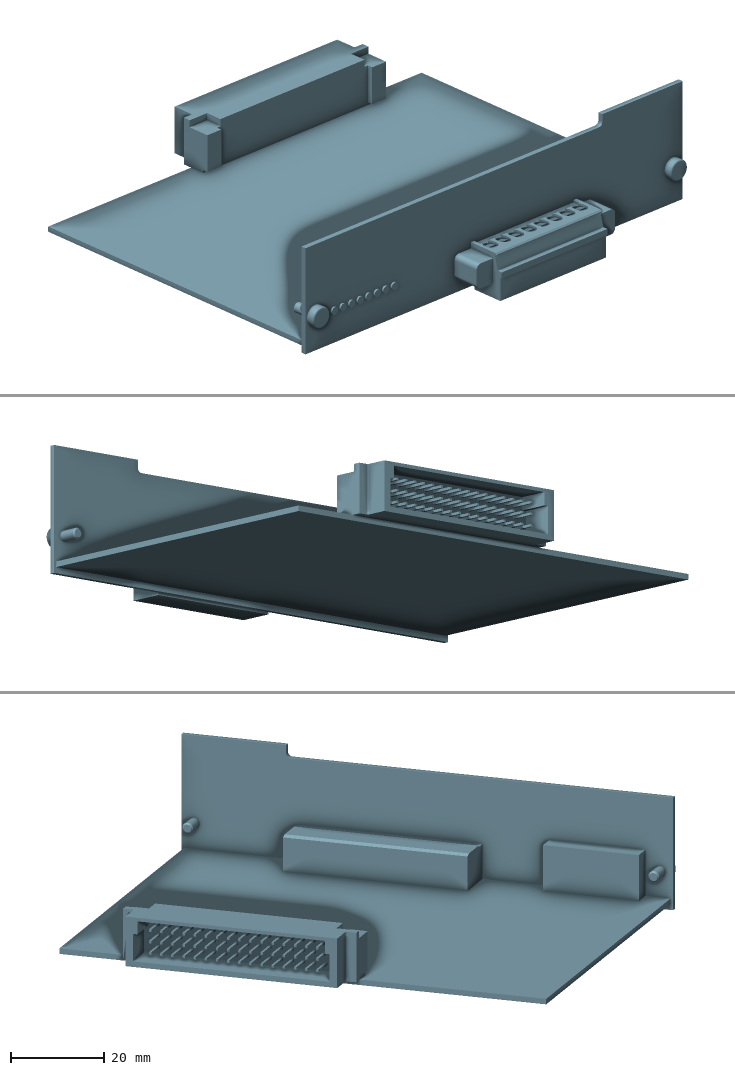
import cadquery as cq


PANEL_LENGTH = 112.1
PANEL_THICKNESS = 1.2
PANEL_BOTTOM = -2.6
PANEL_TOP = 25.5
PANEL_LOW_TOP = 22.6
PANEL_STEP_Y = 32.2
PANEL_STEP_FILLET = 1.0
BOARD_LENGTH = 79.1
BOARD_WIDTH = 111.0
BOARD_THICKNESS = 1.2

PIN_COLUMNS = 16
PIN_ROWS = 3
PIN_ROW_LENGTH = 38.1
PIN_PITCH = PIN_ROW_LENGTH / (PIN_COLUMNS - 1)
PIN_SIZE = 0.6
PIN_TIP_X = -85.2
PIN_BOTTOM_ROW_Z = 2.9
CONNECTOR_Y = 13.6
CONNECTOR_FRONT = -86.8
CONNECTOR_HEIGHT = 11.1
SHELL_LENGTH = 48.3
SHELL_BACK = -75.4
EAR_SPAN = 53.1
EAR_FRONT = -81.4
EAR_BACK = -74.1
EAR_CORNER_FILLET = 0.3
EAR_TAB_LENGTH = 4.1
EAR_TAB_BOTTOM = 0.7
EAR_NOTCH_FRONT = -79.6
EAR_NOTCH_DEPTH = 1.7
EAR_NOTCH_LENGTH = 5.2
CAVITY_FLOOR_X = -79.6
CAVITY_LENGTH = 44.8
CAVITY_BOTTOM = 1.2
CAVITY_STEP_Z = 7.4
CAVITY_TOP = 10.3
CAVITY_TOP_LENGTH = 42.8

TERMINAL_Y = 8.4
HEADER_LENGTH = 42.0
HEADER_DEPTH = 9.5
HEADER_HEIGHT = 8.2
HEADER_CHAMFER_X = 0.9
HEADER_CHAMFER_Z = 0.5
HEADER_STEP_X = 2.5
HEADER_STEP_DROP = 0.3

INDICATOR_Y = -38.8
INDICATOR_LENGTH = 21.9
INDICATOR_DEPTH = 4.1
INDICATOR_HEIGHT = 10.3
LAMP_COUNT = 8
LAMP_PITCH = PIN_PITCH
LAMP_DIAMETER = 1.8
LAMP_PROUD = 0.5

SCREW_Y = 53.1
SCREW_Z = 5.8
SCREW_DIAMETER = 2.5
SCREW_INNER_LENGTH = 4.5
SCREW_TIP_CHAMFER = 0.3
SCREW_HEAD_DIAMETER = 4.9
SCREW_HEAD_HEIGHT = 2.0
SCREW_HEAD_FILLET = 0.5

PLUG_GAP = 0.5
PLUG_BACK = PANEL_THICKNESS + PLUG_GAP
POLE_COUNT = 8
POLE_PITCH = 3.8
PLUG_LENGTH = 31.4
PLUG_TOP = 8.2
PLUG_BOTTOM = -2.7
PLUG_FOOT_BACK = 2.7
PLUG_FOOT_TOP = -1.8
PLUG_FACE = 10.8
PLUG_LIP_X = 9.5
PLUG_LIP_HEIGHT = 0.6
PLUG_LIP_BEVEL = 0.3
PLUG_SLOPE_TOP_X = 9.1
PLUG_SLOPE_BOTTOM_X = 10.0
PLUG_RIDGE_X = 11.2
PLUG_RIDGE_TOP = 4.3
PLUG_RIDGE_BOTTOM = 2.8
FLANGE_LENGTH = 41.1
FLANGE_FRONT = 8.5
FLANGE_BOTTOM = 0.8
FLANGE_TOP = 6.7
FLANGE_FILLET = 1.2
TROUGH_LENGTH = 29.5
TROUGH_FRONT = 3.6
TROUGH_DEPTH = 0.6
WELL_LENGTH = 3.8
WELL_DEPTH = 1.1
CLAMP_DIAMETER = 2.9
CLAMP_X = 5.6
CLAMP_HEIGHT = 0.6
CLAMP_SLOT_WIDTH = 0.6
CLAMP_SLOT_DEPTH = 0.3


def block(x_range, y_center, length, z_range):
    """Box between two X and two Z values, centred on y_center along Y."""
    x0, x1 = x_range
    z0, z1 = z_range
    size = (x1 - x0, length, z1 - z0)
    return cq.Workplane("XY").box(*size, centered=False).translate((x0, y_center - length / 2, z0))


def rod(diameter, x0, x1, y, z):
    """Round bar along X."""
    return cq.Workplane("YZ", origin=(x0, y, z)).circle(diameter / 2).extrude(x1 - x0)


def centered_row(count, pitch, center):
    """Evenly spaced positions on both sides of a centre."""
    return [center + (i - (count - 1) / 2) * pitch for i in range(count)]


def make_board():
    return block((-BOARD_LENGTH, 0), 0, BOARD_WIDTH, (-BOARD_THICKNESS, 0))


def make_panel():
    half = PANEL_LENGTH / 2
    outline = [
        (-half, PANEL_BOTTOM),
        (half, PANEL_BOTTOM),
        (half, PANEL_TOP),
        (PANEL_STEP_Y, PANEL_TOP),
        (PANEL_STEP_Y, PANEL_LOW_TOP),
        (-half, PANEL_LOW_TOP),
    ]
    panel = cq.Workplane("YZ").polyline(outline).close().extrude(PANEL_THICKNESS)
    step_corner = cq.selectors.NearestToPointSelector(
        (PANEL_THICKNESS / 2, PANEL_STEP_Y, PANEL_LOW_TOP)
    )
    return panel.edges("|X").edges(step_corner).fillet(PANEL_STEP_FILLET)


def make_connector_housing():
    """Shell with an ear at each end; the ears are notched on top and reach behind the shell."""
    height = (0, CONNECTOR_HEIGHT)
    shell = block((CONNECTOR_FRONT, SHELL_BACK), CONNECTOR_Y, SHELL_LENGTH, height)
    housing = shell.union(block((EAR_FRONT, SHELL_BACK), CONNECTOR_Y, EAR_SPAN, height))
    for side in (-1, 1):
        inner_corner = cq.selectors.NearestToPointSelector(
            (EAR_FRONT, CONNECTOR_Y + side * SHELL_LENGTH / 2, CONNECTOR_HEIGHT / 2)
        )
        housing = housing.edges("|Z").edges(inner_corner).fillet(EAR_CORNER_FILLET)
    for side in (-1, 1):
        ear_end = CONNECTOR_Y + side * EAR_SPAN / 2
        tab_y = ear_end - side * EAR_TAB_LENGTH / 2
        tab_z = (EAR_TAB_BOTTOM, CONNECTOR_HEIGHT)
        housing = housing.union(block((SHELL_BACK, EAR_BACK), tab_y, EAR_TAB_LENGTH, tab_z))
        notch_y = ear_end - side * EAR_NOTCH_LENGTH / 2
        notch_z = (CONNECTOR_HEIGHT - EAR_NOTCH_DEPTH, CONNECTOR_HEIGHT)
        housing = housing.cut(block((EAR_NOTCH_FRONT, EAR_BACK), notch_y, EAR_NOTCH_LENGTH, notch_z))
    return housing


def make_edge_connector():
    depth = (CONNECTOR_FRONT, CAVITY_FLOOR_X)
    lower_cavity = block(depth, CONNECTOR_Y, CAVITY_LENGTH, (CAVITY_BOTTOM, CAVITY_STEP_Z))
    upper_cavity = block(depth, CONNECTOR_Y, CAVITY_TOP_LENGTH, (CAVITY_STEP_Z, CAVITY_TOP))
    connector = make_connector_housing().cut(lower_cavity).cut(upper_cavity)
    pin_places = [
        (y, PIN_BOTTOM_ROW_Z + row * PIN_PITCH)
        for row in range(PIN_ROWS)
        for y in centered_row(PIN_COLUMNS, PIN_PITCH, CONNECTOR_Y)
    ]
    pins = (
        cq.Workplane("YZ", origin=(PIN_TIP_X, 0, 0))
        .pushPoints(pin_places)
        .rect(PIN_SIZE, PIN_SIZE)
        .extrude(CAVITY_FLOOR_X - PIN_TIP_X)
    )
    return connector.union(pins)


def make_terminal_header():
    """Block against the panel, bevelled at the rear and stepped down next to the panel."""
    profile = [
        (0, 0),
        (-HEADER_DEPTH, 0),
        (-HEADER_DEPTH, HEADER_HEIGHT - HEADER_CHAMFER_Z),
        (-HEADER_DEPTH + HEADER_CHAMFER_X, HEADER_HEIGHT),
        (-HEADER_STEP_X, HEADER_HEIGHT),
        (-HEADER_STEP_X, HEADER_HEIGHT - HEADER_STEP_DROP),
        (0, HEADER_HEIGHT - HEADER_STEP_DROP),
    ]
    start = (0, TERMINAL_Y + HEADER_LENGTH / 2, 0)
    return cq.Workplane("XZ", origin=start).polyline(profile).close().extrude(HEADER_LENGTH)


def make_indicator_block():
    """Block behind the panel with a row of lamps that stand proud of the panel."""
    indicator = block((-INDICATOR_DEPTH, 0), INDICATOR_Y, INDICATOR_LENGTH, (0, INDICATOR_HEIGHT))
    lamp_front = PANEL_THICKNESS + LAMP_PROUD
    for y in centered_row(LAMP_COUNT, LAMP_PITCH, INDICATOR_Y):
        indicator = indicator.union(rod(LAMP_DIAMETER, 0, lamp_front, y, INDICATOR_HEIGHT / 2))
    return indicator


def make_screw(y):
    shank = rod(SCREW_DIAMETER, -SCREW_INNER_LENGTH, PANEL_THICKNESS, y, SCREW_Z)
    shank = shank.faces("<X").chamfer(SCREW_TIP_CHAMFER)
    head_front = PANEL_THICKNESS + SCREW_HEAD_HEIGHT
    head = rod(SCREW_HEAD_DIAMETER, PANEL_THICKNESS, head_front, y, SCREW_Z)
    return shank.union(head.faces(">X").edges().fillet(SCREW_HEAD_FILLET))


def make_card():
    card = make_board().union(make_panel())
    card = card.union(make_edge_connector())
    card = card.union(make_terminal_header())
    card = card.union(make_indicator_block())
    for y in (-SCREW_Y, SCREW_Y):
        card = card.union(make_screw(y))
    return card


def make_plug_body():
    """Ridged body, cut back at its foot, with a rounded flange passing through it."""
    profile = [
        (PLUG_BACK, PLUG_FOOT_TOP),
        (PLUG_FOOT_BACK, PLUG_FOOT_TOP),
        (PLUG_FOOT_BACK, PLUG_BOTTOM),
        (PLUG_FACE, PLUG_BOTTOM),
        (PLUG_FACE, PLUG_RIDGE_BOTTOM),
        (PLUG_RIDGE_X, PLUG_RIDGE_BOTTOM),
        (PLUG_RIDGE_X, PLUG_RIDGE_TOP),
        (PLUG_SLOPE_BOTTOM_X, PLUG_RIDGE_TOP),
        (PLUG_SLOPE_TOP_X, PLUG_TOP - PLUG_LIP_HEIGHT),
        (PLUG_LIP_X, PLUG_TOP - PLUG_LIP_HEIGHT),
        (PLUG_LIP_X, PLUG_TOP - PLUG_LIP_BEVEL),
        (PLUG_LIP_X - PLUG_LIP_BEVEL, PLUG_TOP),
        (PLUG_BACK, PLUG_TOP),
    ]
    start = (0, TERMINAL_Y + PLUG_LENGTH / 2, 0)
    body = cq.Workplane("XZ", origin=start).polyline(profile).close().extrude(PLUG_LENGTH)
    flange_z = (FLANGE_BOTTOM, FLANGE_TOP)
    flange = block((PLUG_BACK, FLANGE_FRONT), TERMINAL_Y, FLANGE_LENGTH, flange_z)
    return body.union(flange.edges("|X").fillet(FLANGE_FILLET))


def add_clamp(plug, y):
    """Sink an oblong well into the plug's top and leave a slotted clamp screw at its front end."""
    well_floor = PLUG_TOP - WELL_DEPTH
    well_x = CLAMP_X - (WELL_LENGTH - CLAMP_DIAMETER) / 2
    floor_plane = cq.Workplane("XY", origin=(0, 0, well_floor))
    well = floor_plane.center(well_x, y).slot2D(WELL_LENGTH, CLAMP_DIAMETER).extrude(WELL_DEPTH)
    screw = floor_plane.center(CLAMP_X, y).circle(CLAMP_DIAMETER / 2).extrude(CLAMP_HEIGHT)
    slot_x = (CLAMP_X - CLAMP_SLOT_WIDTH / 2, CLAMP_X + CLAMP_SLOT_WIDTH / 2)
    screw_top = well_floor + CLAMP_HEIGHT
    slot = block(slot_x, y, CLAMP_DIAMETER, (screw_top - CLAMP_SLOT_DEPTH, screw_top))
    return plug.cut(well).union(screw.cut(slot))


def make_plug():
    trough_x = (PLUG_BACK, TROUGH_FRONT)
    trough = block(trough_x, TERMINAL_Y, TROUGH_LENGTH, (PLUG_TOP - TROUGH_DEPTH, PLUG_TOP))
    plug = make_plug_body().cut(trough)
    for y in centered_row(POLE_COUNT, POLE_PITCH, TERMINAL_Y):
        plug = add_clamp(plug, y)
    return plug


card = make_card()
plug = make_plug()
result = cq.Compound.makeCompound([card.solids().val(), plug.solids().val()])